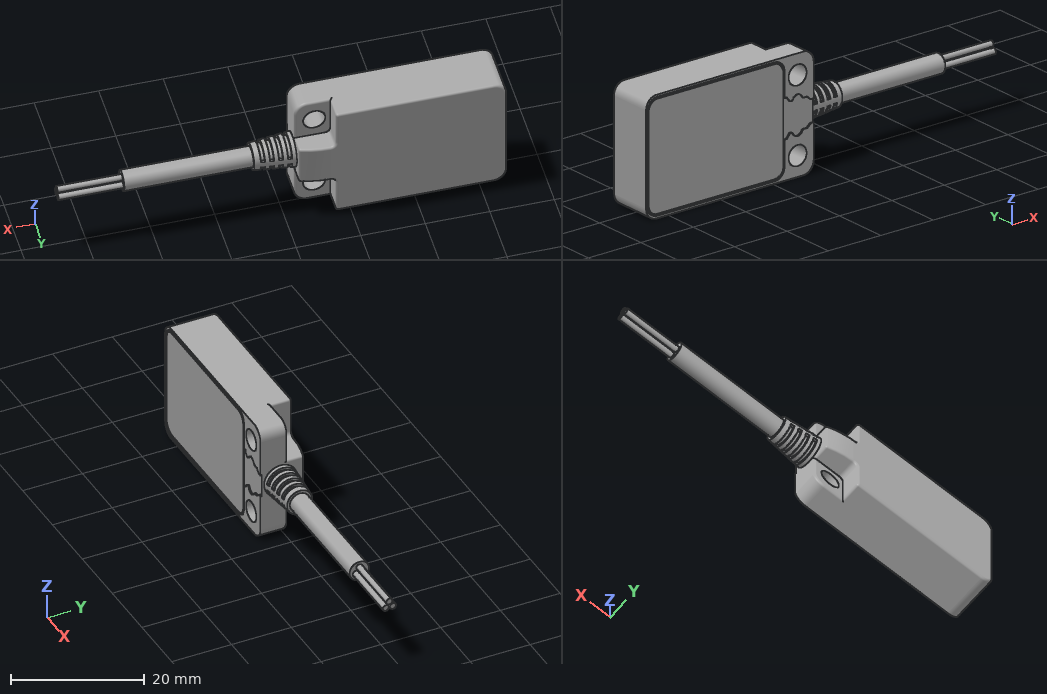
import cadquery as cq
import math

total_length = 68.5
body_length = 32.0
body_thickness = 8.0
body_height = 20.0
corner_radius = 2.05
edge_round = 0.4
center_z = body_height / 2

seat_length = 5.55
flange_thickness = 4.5
rib_half_width = 3.35
rib_root_radius = 0.8
rib_end_drop = 0.8
hole_diameter = 3.4
hole_offset_z = 6.5
hole_from_end = 3.1

frame_left = 0.3
frame_right = 26.45
frame_height = 19.2
frame_corner_radius = 1.9
groove_width = 0.3
front_relief_depth = 0.2
wave_wide = 3.35
wave_narrow = 2.55
wave_middle = 2.75
wave_end = 1.9
dip_start = 2.05
dip_half_width = 0.35
dip_center = 1.2
bump_foot = 1.1
taper_start = 1.85
taper_end = 2.55

cable_diameter = 3.3
cable_y = 3.35
cable_end = 58.4
wire_diameter = 1.0
wire_count = 3
wire_circle_radius = 0.7

relief_length = 6.45
relief_root_radius = 2.75
relief_tip_radius = 2.1
gap_count = 4
gap_pitch = 1.4
gap_start = 0.7
gap_width = 0.6
gap_depth = 0.4
spine_width = 1.1

overlap = 0.7

selection_margin = 0.1


def make_housing():
    """Rounded block with two seats on the back and a sloping rib between them."""
    block = (
        cq.Workplane("XY")
        .box(body_length, body_thickness, body_height, centered=False)
        .edges("|Y")
        .fillet(corner_radius)
    )
    seat_start = body_length - seat_length
    seat_height = body_height / 2 - rib_half_width
    for side in (1, -1):
        seat_center_z = center_z + side * (rib_half_width + seat_height / 2 + overlap / 2)
        rib_edge = "<Z" if side > 0 else ">Z"
        seat = (
            cq.Workplane("XY")
            .box(seat_length + overlap, body_thickness, seat_height + overlap, centered=(False, False, True))
            .translate((seat_start, flange_thickness, seat_center_z))
            .edges("|Y")
            .edges("<X")
            .edges(rib_edge)
            .fillet(rib_root_radius)
        )
        block = block.cut(seat)
    return block.cut(make_rib_slope(seat_start + rib_root_radius))


def make_rib_slope(slope_start):
    """Space above the rib's back, which curves down towards the cable end."""
    run = body_length - slope_start
    bend_radius = (run ** 2 + rib_end_drop ** 2) / (2 * rib_end_drop)
    half_angle = math.atan2(rib_end_drop, run)
    middle_x = slope_start + bend_radius * math.sin(half_angle)
    middle_y = body_thickness - bend_radius * (1 - math.cos(half_angle))
    return (
        cq.Workplane("XY")
        .moveTo(slope_start, body_thickness)
        .threePointArc((middle_x, middle_y), (body_length, body_thickness - rib_end_drop))
        .lineTo(body_length, body_thickness + overlap)
        .lineTo(slope_start, body_thickness + overlap)
        .close()
        .extrude(2 * rib_half_width)
        .translate((0, 0, center_z - rib_half_width))
    )


def round_back_edges(block):
    """Round every outer edge of the back, leaving the inner corners of the seats sharp."""
    back_edges = cq.selectors.BoxSelector(
        (-overlap, flange_thickness - selection_margin, -overlap),
        (body_length + overlap, body_thickness + overlap, body_height + overlap),
    )
    inner_corners = cq.selectors.BoxSelector(
        (body_length - seat_length - selection_margin, flange_thickness - selection_margin, corner_radius),
        (body_length - corner_radius / 2, body_thickness - rib_end_drop, body_height - corner_radius),
    )
    return block.edges(back_edges - inner_corners).fillet(edge_round)


def make_mounting_holes():
    hole_x = body_length - hole_from_end
    return (
        cq.Workplane("XZ")
        .pushPoints([(hole_x, center_z + side * hole_offset_z) for side in (1, -1)])
        .circle(hole_diameter / 2)
        .extrude(-body_thickness)
    )


def rounded_panel(inset):
    """Thin plate inside the groove's outer edge, drawn in by the inset on all sides."""
    length = frame_right - frame_left - 2 * inset
    height = frame_height - 2 * inset
    return (
        cq.Workplane("XZ")
        .center((frame_left + frame_right) / 2, center_z)
        .rect(length, height)
        .extrude(-front_relief_depth)
        .edges("|Y")
        .fillet(frame_corner_radius - inset)
    )


def make_front_relief():
    """Panel groove together with the wavy recess beside the mounting holes."""
    wave_start = frame_right - groove_width
    hole_x = body_length - hole_from_end
    dip_x = hole_x - dip_center
    bump_half_width = dip_center - dip_half_width
    half_recess = (
        cq.Workplane("XZ", origin=(0, 0, center_z))
        .moveTo(wave_start, 0)
        .lineTo(wave_start, wave_wide)
        .lineTo(hole_x - dip_start, wave_wide)
        .lineTo(dip_x - dip_half_width, wave_middle)
        .threePointArc((dip_x, wave_narrow), (dip_x + dip_half_width, wave_middle))
        .threePointArc((hole_x, wave_wide), (hole_x + bump_half_width, wave_middle))
        .lineTo(hole_x + bump_foot, wave_narrow)
        .lineTo(hole_x + taper_start, wave_narrow)
        .lineTo(hole_x + taper_end, wave_end)
        .lineTo(body_length, wave_end)
        .lineTo(body_length, 0)
        .close()
        .extrude(-front_relief_depth)
    )
    recess = half_recess.union(half_recess.mirror("XY", (0, 0, center_z)))
    return rounded_panel(0).union(recess).cut(rounded_panel(groove_width))


def cable_axis_plane(x):
    return cq.Workplane("YZ", origin=(x, cable_y, center_z))


def make_strain_relief():
    """Cone with ring gaps, crossed by a spine on its front and back."""
    cone = (
        cable_axis_plane(body_length - overlap)
        .circle(relief_root_radius)
        .extrude(overlap)
        .union(
            cable_axis_plane(body_length)
            .circle(relief_root_radius)
            .workplane(offset=relief_length)
            .circle(relief_tip_radius)
            .loft()
        )
    )
    taper = (relief_root_radius - relief_tip_radius) / relief_length
    for index in range(gap_count):
        gap_x = gap_start + index * gap_pitch
        floor_radius = relief_root_radius - taper * gap_x - gap_depth
        gap = (
            cable_axis_plane(body_length + gap_x)
            .circle(relief_root_radius + overlap)
            .circle(floor_radius)
            .extrude(gap_width)
        )
        spine = (
            cable_axis_plane(body_length + gap_x)
            .rect(2 * (relief_root_radius + overlap), spine_width)
            .extrude(gap_width)
        )
        cone = cone.cut(gap.cut(spine))
    return cone


def make_cable():
    cable = (
        cable_axis_plane(body_length - overlap)
        .circle(cable_diameter / 2)
        .extrude(cable_end - body_length + overlap)
    )
    first_wire_angle = 90
    full_turn = 360
    wires = (
        cable_axis_plane(cable_end - overlap)
        .polarArray(wire_circle_radius, first_wire_angle, full_turn, wire_count)
        .circle(wire_diameter / 2)
        .extrude(total_length - cable_end + overlap)
    )
    return cable.union(wires)


result = (
    round_back_edges(make_housing())
    .cut(make_mounting_holes())
    .cut(make_front_relief())
    .union(make_strain_relief())
    .union(make_cable())
)